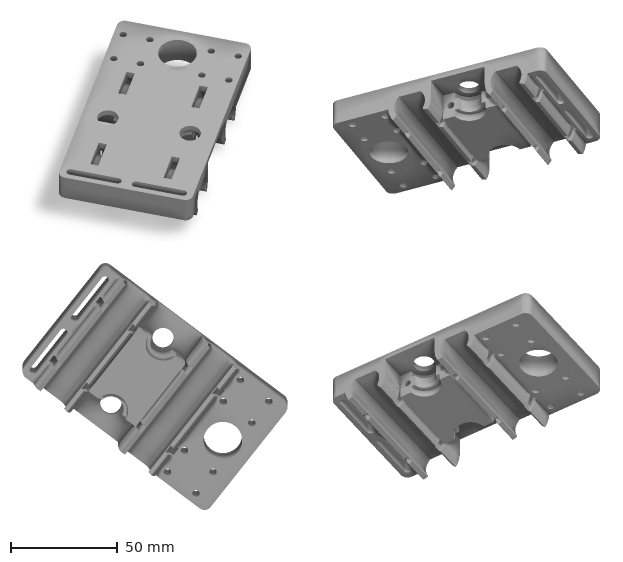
import cadquery as cq
import math


WIDTH = 65.0
LENGTH = 110.5
THICKNESS = 12.9
FRONT_LEDGE_DROP = 0.2
CORNER_RADIUS = 3.6

CLIP_SPACING = 50.0
CLIP_MID_Y = -10.7
REAR_CLIP_Y = CLIP_MID_Y + CLIP_SPACING / 2
FRONT_CLIP_Y = CLIP_MID_Y - CLIP_SPACING / 2
CLIP_OUTER_RADIUS = 10.9
CLIP_BORE_RADIUS = 8.0
CLIP_ROOF_Z = 5.6
MOUTH_HALF_WIDTH = 7.0
LIP_Z = -4.9
REAR_TIP_Z = -6.7
FRONT_TIP_Z = -5.6

TIE_OUTER_RADIUS = 12.0
TIE_INNER_RADIUS = 9.0
TIE_SLOT_LENGTH = 15.0
TIE_WIDTH = 4.0
TIE_OFFSET_X = 17.8

POCKET_LENGTH = 27.8
POCKET_ROOF_Z = 10.0
BLOCK_BOTTOM_Z = -3.6
BLOCK_HALF_WIDTH = 19.0
ROD_OFFSET_X = 20.0
ROD_HOLE_DIAMETER = 10.1
ROD_BORE_DIAMETER = 11.9
FLANGE_BORE_DIAMETER = 16.1
FLANGE_DEPTH = 3.6
BOLT_SPACING = 20.0
BOLT_DIAMETER = 3.5
BOLT_DEPTH = 10.0

LARGE_HOLE_DIAMETER = 18.1
LARGE_HOLE_Y = 40.2
SCREW_DIAMETER = 3.5
SCREW_OFFSETS_X = [14.9, 28.0]
SCREW_ROWS_Y = [45.9, 29.0]
SLOT_LENGTH = 26.7
SLOT_WIDTH = 3.6
SLOT_OFFSET_X = 15.9
SLOT_Y = -50.8

SIDES = (-1, 1)


def on_circle(radius, z):
    """Horizontal distance from a circle's centre to the circle at height z."""
    return math.sqrt(radius**2 - z**2)


def box_between(x_min, x_max, y_min, y_max, z_min, z_max):
    return cq.Workplane("XY").box(
        x_max - x_min, y_max - y_min, z_max - z_min, centered=False
    ).translate((x_min, y_min, z_min))


def arc_middle(radius, z_end):
    """Point halfway along the arc from (radius, 0) to the circle at height z_end."""
    angle = math.asin(z_end / radius) / 2
    return radius * math.cos(angle), radius * math.sin(angle)


def clip_arm(centre_y, side, tip_z):
    """Curved arm hanging below the plate on one side of a clip axis."""
    mouth_z = -on_circle(CLIP_BORE_RADIUS, MOUTH_HALF_WIDTH)
    outer_y, outer_z = arc_middle(CLIP_OUTER_RADIUS, tip_z)
    inner_y, inner_z = arc_middle(CLIP_BORE_RADIUS, mouth_z)
    return (
        cq.Workplane("YZ", origin=(-WIDTH / 2, centre_y, 0))
        .moveTo(side * CLIP_OUTER_RADIUS, 0)
        .threePointArc((side * outer_y, outer_z), (side * on_circle(CLIP_OUTER_RADIUS, tip_z), tip_z))
        .lineTo(side * MOUTH_HALF_WIDTH, LIP_Z)
        .lineTo(side * MOUTH_HALF_WIDTH, mouth_z)
        .threePointArc((side * inner_y, inner_z), (side * CLIP_BORE_RADIUS, 0))
        .close()
        .extrude(WIDTH)
    )


def clip_bore(centre_y):
    """Upper half of the bearing seat, flattened at its roof."""
    roof_half_width = on_circle(CLIP_BORE_RADIUS, CLIP_ROOF_Z)
    middle_y, middle_z = arc_middle(CLIP_BORE_RADIUS, CLIP_ROOF_Z)
    return (
        cq.Workplane("YZ", origin=(-WIDTH / 2, centre_y, 0))
        .moveTo(CLIP_BORE_RADIUS, 0)
        .threePointArc((middle_y, middle_z), (roof_half_width, CLIP_ROOF_Z))
        .lineTo(-roof_half_width, CLIP_ROOF_Z)
        .threePointArc((-middle_y, middle_z), (-CLIP_BORE_RADIUS, 0))
        .close()
        .extrude(WIDTH)
    )


def tie_channel(centre_x, centre_y):
    """Ring around the clip axis with a straight-walled slot up through the plate."""
    x_min = centre_x - TIE_WIDTH / 2
    slot = box_between(
        x_min, x_min + TIE_WIDTH,
        centre_y - TIE_SLOT_LENGTH / 2, centre_y + TIE_SLOT_LENGTH / 2,
        0, THICKNESS,
    )
    side_plane = cq.Workplane("YZ", origin=(x_min, centre_y, 0))
    ring = side_plane.circle(TIE_OUTER_RADIUS).extrude(TIE_WIDTH)
    core = side_plane.circle(TIE_INNER_RADIUS).extrude(TIE_WIDTH)
    return ring.union(slot).cut(core)


def vertical_cylinder(x, y, diameter, z_min, z_max):
    return cq.Workplane("XY", origin=(x, y, z_min)).circle(diameter / 2).extrude(z_max - z_min)


def pocket_length_box(half_width):
    """Box that fills the space between the clips out to the given half width."""
    return box_between(
        -half_width, half_width,
        CLIP_MID_Y - POCKET_LENGTH / 2, CLIP_MID_Y + POCKET_LENGTH / 2,
        BLOCK_BOTTOM_Z, POCKET_ROOF_Z,
    )


def nut_block():
    """Central block with a half-round flanged seat and two blind bolt holes in each side."""
    bolt_z = (POCKET_ROOF_Z + BLOCK_BOTTOM_Z) / 2
    block = pocket_length_box(BLOCK_HALF_WIDTH)
    seat_levels = [
        (ROD_BORE_DIAMETER, BLOCK_BOTTOM_Z, POCKET_ROOF_Z),
        (FLANGE_BORE_DIAMETER, BLOCK_BOTTOM_Z, BLOCK_BOTTOM_Z + FLANGE_DEPTH),
        (FLANGE_BORE_DIAMETER, POCKET_ROOF_Z - FLANGE_DEPTH, POCKET_ROOF_Z),
    ]
    for side in SIDES:
        for diameter, z_min, z_max in seat_levels:
            block = block.cut(vertical_cylinder(side * ROD_OFFSET_X, CLIP_MID_Y, diameter, z_min, z_max))
        bolts = (
            cq.Workplane("YZ", origin=(side * BLOCK_HALF_WIDTH, CLIP_MID_Y, bolt_z))
            .pushPoints([(-BOLT_SPACING / 2, 0), (BOLT_SPACING / 2, 0)])
            .circle(BOLT_DIAMETER / 2)
            .extrude(-side * BOLT_DEPTH)
        )
        block = block.cut(bolts)
    return block


result = (
    cq.Workplane("XY", origin=(0, 0, -FRONT_LEDGE_DROP))
    .rect(WIDTH, LENGTH)
    .extrude(THICKNESS + FRONT_LEDGE_DROP)
    .edges("|Z")
    .fillet(CORNER_RADIUS)
)
ledge_y = FRONT_CLIP_Y - CLIP_OUTER_RADIUS
result = result.cut(box_between(-WIDTH / 2, WIDTH / 2, ledge_y, LENGTH / 2, -FRONT_LEDGE_DROP, 0))

for clip_y in (REAR_CLIP_Y, FRONT_CLIP_Y):
    result = result.union(clip_arm(clip_y, 1, REAR_TIP_Z))
    result = result.union(clip_arm(clip_y, -1, FRONT_TIP_Z))
    result = result.cut(clip_bore(clip_y))
    for side in SIDES:
        result = result.cut(tie_channel(side * TIE_OFFSET_X, clip_y))

result = result.cut(pocket_length_box(WIDTH / 2)).union(nut_block())

slots_z = -FRONT_LEDGE_DROP
for side in SIDES:
    result = result.cut(
        vertical_cylinder(side * ROD_OFFSET_X, CLIP_MID_Y, ROD_HOLE_DIAMETER, POCKET_ROOF_Z, THICKNESS)
    )
    slot = cq.Workplane("XY", origin=(side * SLOT_OFFSET_X, SLOT_Y, slots_z)).slot2D(SLOT_LENGTH, SLOT_WIDTH)
    result = result.cut(slot.extrude(THICKNESS - slots_z))
    for screw_x in SCREW_OFFSETS_X:
        for screw_y in SCREW_ROWS_Y:
            result = result.cut(vertical_cylinder(side * screw_x, screw_y, SCREW_DIAMETER, 0, THICKNESS))
result = result.cut(vertical_cylinder(0, LARGE_HOLE_Y, LARGE_HOLE_DIAMETER, 0, THICKNESS))